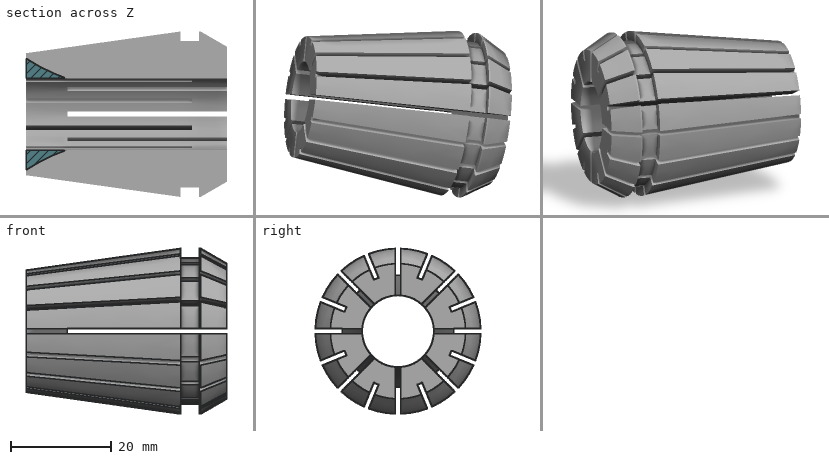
import math

import cadquery as cq

length = 40.0
outer_radius = 33.0 / 2
bore_radius = 14.25 / 2

taper_length = 30.8
taper_angle = 8.0
groove_radius = 14.6
groove_width = 3.65
land_width = 0.3
nose_angle = 30.0

slots_per_end = 8
slot_width = 1.0
saw_radius = 38.0
nose_slot_floor_radius = 11.15
nose_slot_web_length = 8.2
tail_slot_floor_radius = 11.35
tail_slot_web_length = 6.9

small_end_radius = outer_radius - taper_length * math.tan(math.radians(taper_angle))
land_start = taper_length + groove_width
nose_start = land_start + land_width
nose_end_radius = outer_radius - (length - nose_start) * math.tan(math.radians(nose_angle))

slot_pitch = 360.0 / slots_per_end


def collet_body():
    """Turned body: the half section revolved about the X axis."""
    half_section = [
        (0, bore_radius),
        (0, small_end_radius),
        (taper_length, outer_radius),
        (taper_length, groove_radius),
        (land_start, groove_radius),
        (land_start, outer_radius),
        (nose_start, outer_radius),
        (length, nose_end_radius),
        (length, bore_radius),
    ]
    profile = cq.Workplane("XZ").polyline(half_section).close()
    return profile.revolve(360, (0, 0, 0), (1, 0, 0))


def saw_slot(floor_radius, web_length):
    """Slot cutter open toward +X, its floor curving from the closed end down into the bore."""
    floor_drop = floor_radius - bore_radius
    chord = math.hypot(web_length, floor_drop)
    center_offset = math.sqrt(saw_radius**2 - (chord / 2) ** 2)
    center_x = web_length / 2 + center_offset * floor_drop / chord
    center_z = (floor_radius + bore_radius) / 2 + center_offset * web_length / chord
    lowest_z = center_z - saw_radius

    def floor_height(x):
        return center_z - math.sqrt(saw_radius**2 - (x - center_x) ** 2)

    return (
        cq.Workplane("XZ")
        .moveTo(0, floor_radius)
        .threePointArc((web_length, floor_height(web_length)), (center_x, lowest_z))
        .lineTo(length, lowest_z)
        .lineTo(length, outer_radius)
        .lineTo(0, outer_radius)
        .close()
        .extrude(slot_width / 2, both=True)
    )


def cut_slots(body, slot, first_angle):
    """Cut the slot repeatedly around the X axis."""
    for i in range(slots_per_end):
        angle = first_angle + i * slot_pitch
        body = body.cut(slot.rotate((0, 0, 0), (1, 0, 0), angle))
    return body


nose_slot = saw_slot(nose_slot_floor_radius, nose_slot_web_length)
tail_slot = saw_slot(tail_slot_floor_radius, tail_slot_web_length).mirror("YZ", (length / 2, 0, 0))

result = collet_body()
result = cut_slots(result, nose_slot, 0)
result = cut_slots(result, tail_slot, slot_pitch / 2)